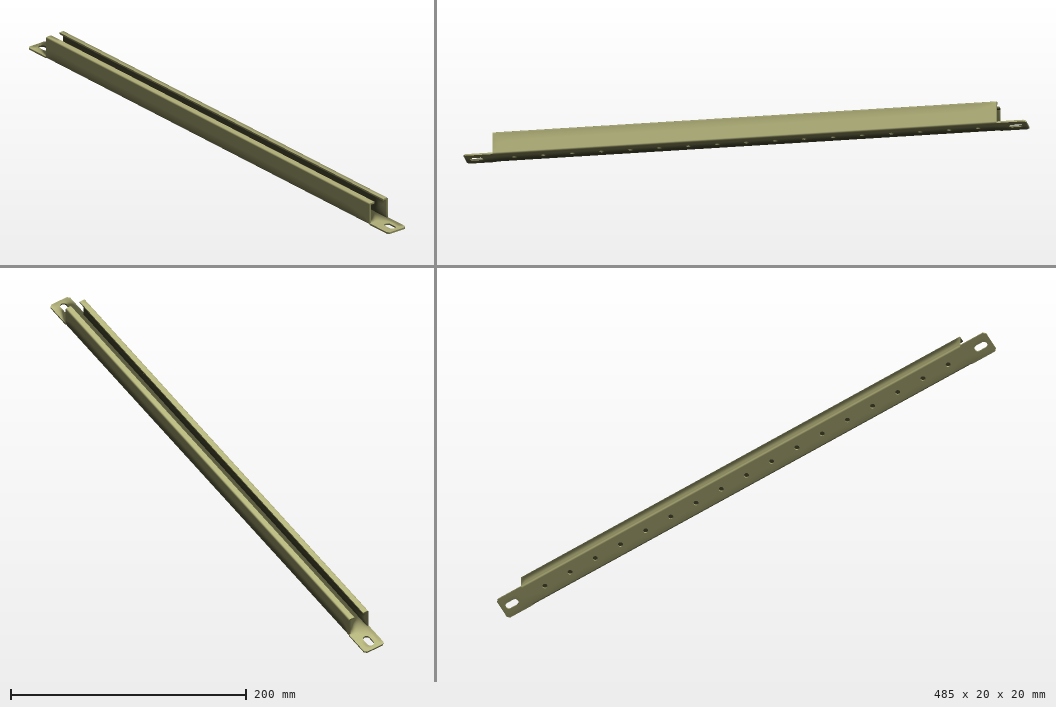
import cadquery as cq

total_length = 485.0
width = 20.0
height = 20.0
sheet = 1.5

tab_length = 25.0
channel_length = total_length - 2 * tab_length
lip_width = 5.5
bend_radius = sheet

tab_corner_chamfer = 2.0
slot_length = 12.0
slot_width = 6.0
slot_end_distance = 10.0

hole_count = 17
hole_pitch = 25.0
hole_diameter = 4.2


def block(length, block_width, bottom, top):
    """Box centred in X and Y that spans the heights bottom to top."""
    return cq.Workplane("XY").workplane(offset=bottom).rect(length, block_width).extrude(top - bottom)


def make_channel():
    """Folded C-section, open at the top between two inward lips."""
    outside = block(channel_length, width, 0, height).edges("|X").fillet(bend_radius)
    inside = block(channel_length, width - 2 * sheet, sheet, height - sheet)
    opening = block(channel_length, width - 2 * lip_width, height / 2, height)
    return outside.cut(inside).cut(opening)


def make_tab(side):
    """Flat, full-width tab at one end; side is -1 or +1 along X."""
    centre = side * (total_length - tab_length) / 2
    tab = block(tab_length, width, 0, sheet).translate((centre, 0, 0))
    outer_end = ">X" if side > 0 else "<X"
    return tab.faces(outer_end).edges("|Z").chamfer(tab_corner_chamfer)


def cut_mounting_slots(body):
    """Slots along X, one through each tab."""
    slot_x = total_length / 2 - slot_end_distance
    slots = cq.Workplane("XY").pushPoints([(-slot_x, 0), (slot_x, 0)])
    return body.cut(slots.slot2D(slot_length, slot_width).extrude(sheet))


def cut_floor_holes(body):
    """Evenly spaced round holes along the centre line of the floor."""
    holes = cq.Workplane("XY").rarray(hole_pitch, 1, hole_count, 1)
    return body.cut(holes.circle(hole_diameter / 2).extrude(sheet))


body = make_channel()
for side in (-1, 1):
    body = body.union(make_tab(side))
body = cut_mounting_slots(body)
result = cut_floor_holes(body)